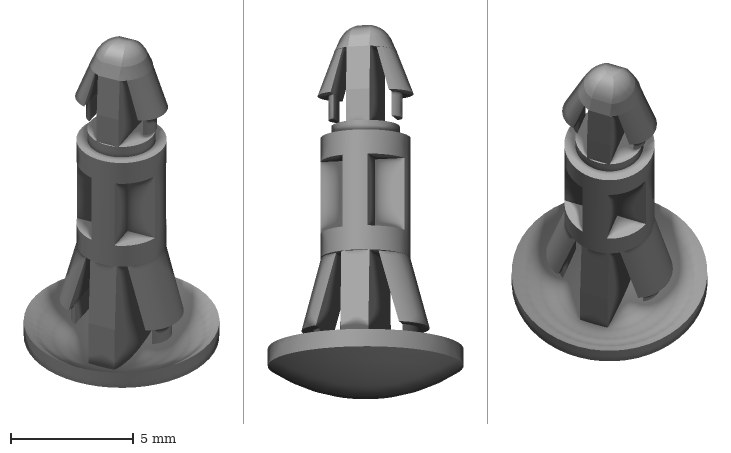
import cadquery as cq
import math

RIM_BOTTOM = 1.24
RIM_TOP = 1.96
LOWER_BARB_BOTTOM = 2.75
BARREL_BOTTOM = 5.73
BARREL_TOP = 10.74
COLLAR_TOP = 11.23
UPPER_BARB_BOTTOM = 12.55
HEAD_BOTTOM = 14.35
DOME_BOTTOM = 14.88
TOP = 15.45

DISH_RADIUS = 8.0 / 2
DISH_FLOOR = 0.5
DISH_HOLLOW_DEPTH = RIM_TOP - DISH_FLOOR

BARREL_RADIUS = 3.7 / 2
COLLAR_RADIUS = 2.8 / 2
CROSS_ARM_WIDTH = 1.05
NOTCH_HEIGHT = 3.0
NOTCH_BOTTOM = (BARREL_BOTTOM + BARREL_TOP - NOTCH_HEIGHT) / 2

LOWER_BLADE_THICKNESS = 1.19
LOWER_BLADE_TOP_HALF = 1.71
LOWER_BLADE_FOOT_HALF = 1.88
UPPER_BLADE_THICKNESS = 0.99
UPPER_BLADE_FOOT_HALF = 1.33

DOME_MIDDLE = 15.31
ROUND_HEAD_HALVES = (1.28, 1.05, 0.63, 0.17)
FLAT_HEAD_HALVES = (1.2, 0.96, 0.53, 0.05)

LOWER_BARB_TOP_X = (0.9, 1.84)
LOWER_BARB_BOTTOM_X = (1.75, 2.65)
LOWER_BARB_WIDTH = 2.77
UPPER_BARB_TOP_X = (0.71, 1.28)
UPPER_BARB_BOTTOM_X = (1.22, 2.0)
UPPER_BARB_WIDTH = 2.01

TAB_LENGTH = 1.0
LOWER_TAB_DEPTH = 0.45
LOWER_TAB_WIDTH = 1.55
UPPER_TAB_DEPTH = 0.32
UPPER_TAB_WIDTH = 1.0


def cap_height(radius, depth):
    """Height above the lowest point of a spherical dish curve of the given depth."""
    sphere_radius = (DISH_RADIUS**2 + depth**2) / (2 * depth)
    return sphere_radius - math.sqrt(sphere_radius**2 - radius**2)


def make_dish():
    """Round cup with a domed underside and a slightly deeper spherical hollow."""
    half_radius = DISH_RADIUS / 2
    outer_middle = cap_height(half_radius, RIM_BOTTOM)
    inner_middle = DISH_FLOOR + cap_height(half_radius, DISH_HOLLOW_DEPTH)
    return (
        cq.Workplane("XZ")
        .moveTo(0, 0)
        .threePointArc((half_radius, outer_middle), (DISH_RADIUS, RIM_BOTTOM))
        .lineTo(DISH_RADIUS, RIM_TOP)
        .threePointArc((half_radius, inner_middle), (0, DISH_FLOOR))
        .close()
        .revolve(360, (0, 0, 0), (0, 1, 0))
    )


def make_barrel():
    """Barrel with four corner notches and a small collar on top."""
    barrel = cq.Workplane().workplane(offset=BARREL_BOTTOM).circle(BARREL_RADIUS)
    barrel = barrel.extrude(BARREL_TOP - BARREL_BOTTOM)
    notch_centre = CROSS_ARM_WIDTH / 2 + BARREL_RADIUS / 2
    notches = (
        cq.Workplane()
        .workplane(offset=NOTCH_BOTTOM)
        .rect(2 * notch_centre, 2 * notch_centre, forConstruction=True)
        .vertices()
        .rect(BARREL_RADIUS, BARREL_RADIUS)
        .extrude(NOTCH_HEIGHT)
    )
    collar = cq.Workplane().workplane(offset=BARREL_TOP).circle(COLLAR_RADIUS)
    collar = collar.extrude(COLLAR_TOP - BARREL_TOP)
    return barrel.cut(notches).union(collar)


def make_blade(thickness, foot, bend, top, foot_half, top_half):
    """Flat blade, straight from foot to bend and tapering from bend to top."""
    return (
        cq.Workplane("YZ")
        .moveTo(-foot_half, foot)
        .lineTo(foot_half, foot)
        .lineTo(foot_half, bend)
        .lineTo(top_half, top)
        .lineTo(-top_half, top)
        .lineTo(-foot_half, bend)
        .close()
        .extrude(thickness / 2, both=True)
    )


def make_head():
    """Domed tip, flattened on its two Y sides."""
    bottom, shoulder, middle, tip = ROUND_HEAD_HALVES
    round_head = (
        cq.Workplane("XZ")
        .moveTo(0, HEAD_BOTTOM)
        .lineTo(bottom, HEAD_BOTTOM)
        .lineTo(shoulder, DOME_BOTTOM)
        .threePointArc((middle, DOME_MIDDLE), (tip, TOP))
        .lineTo(0, TOP)
        .close()
        .revolve(360, (0, 0, 0), (0, 1, 0))
    )
    flat_bottom, flat_shoulder, flat_middle, flat_tip = FLAT_HEAD_HALVES
    flat_head = (
        cq.Workplane("YZ")
        .moveTo(-flat_bottom, HEAD_BOTTOM)
        .lineTo(flat_bottom, HEAD_BOTTOM)
        .lineTo(flat_shoulder, DOME_BOTTOM)
        .threePointArc((flat_middle, DOME_MIDDLE), (flat_tip, TOP))
        .lineTo(-flat_tip, TOP)
        .threePointArc((-flat_middle, DOME_MIDDLE), (-flat_shoulder, DOME_BOTTOM))
        .close()
        .extrude(bottom, both=True)
    )
    return round_head.intersect(flat_head)


def draw_segment(plane, inner, outer, width):
    """Circular segment with its flat side at inner X and its crown at outer X."""
    return (
        plane.moveTo(inner, -width / 2)
        .threePointArc((outer, 0), (inner, width / 2))
        .close()
    )


def make_barb(bottom, top, bottom_x, top_x, width, tab_depth, tab_width):
    """Slanted springy barb on the +X side with a tab under it."""
    barb = draw_segment(cq.Workplane().workplane(offset=bottom), *bottom_x, width)
    barb = draw_segment(barb.workplane(offset=top - bottom), *top_x, width).loft(ruled=True)
    inner = bottom_x[0]
    tab = draw_segment(cq.Workplane().workplane(offset=bottom), inner, inner + tab_depth, tab_width)
    return barb.union(tab.extrude(-TAB_LENGTH))


def make_support(dish):
    """Snap-in post standing in the dish, with barbs on its +X and -X sides."""
    lower_blade = make_blade(
        LOWER_BLADE_THICKNESS, DISH_FLOOR, LOWER_BARB_BOTTOM, BARREL_BOTTOM,
        LOWER_BLADE_FOOT_HALF, LOWER_BLADE_TOP_HALF,
    )
    lower_blade = lower_blade.cut(dish)
    upper_blade = make_blade(
        UPPER_BLADE_THICKNESS, COLLAR_TOP, UPPER_BARB_BOTTOM, HEAD_BOTTOM,
        UPPER_BLADE_FOOT_HALF, FLAT_HEAD_HALVES[0],
    )
    lower_barb = make_barb(
        LOWER_BARB_BOTTOM, BARREL_BOTTOM, LOWER_BARB_BOTTOM_X, LOWER_BARB_TOP_X,
        LOWER_BARB_WIDTH, LOWER_TAB_DEPTH, LOWER_TAB_WIDTH,
    )
    upper_barb = make_barb(
        UPPER_BARB_BOTTOM, HEAD_BOTTOM, UPPER_BARB_BOTTOM_X, UPPER_BARB_TOP_X,
        UPPER_BARB_WIDTH, UPPER_TAB_DEPTH, UPPER_TAB_WIDTH,
    )
    support = make_barrel().union(lower_blade).union(upper_blade).union(make_head())
    for barb in (lower_barb, upper_barb):
        support = support.union(barb).union(barb.mirror("YZ"))
    return support


dish = make_dish()
support = make_support(dish)

result = cq.Compound.makeCompound([dish.val(), *support.vals()])